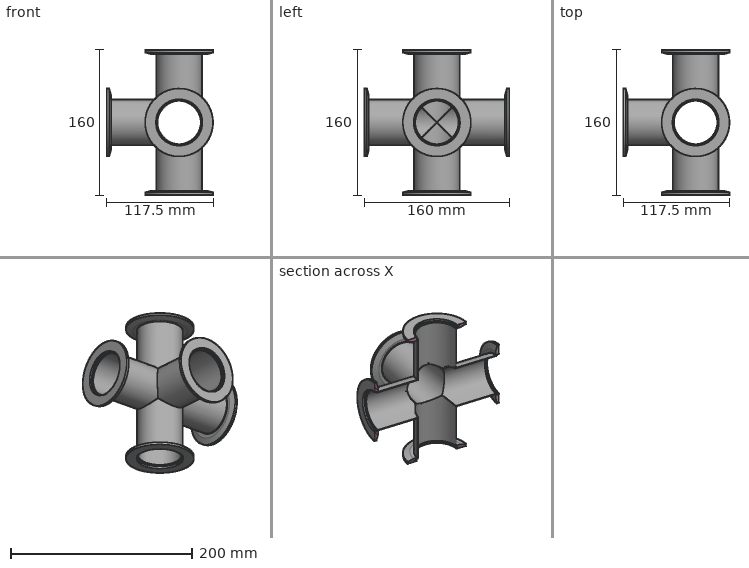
import cadquery as cq


reach = 80.0
tube_diameter = 50.7
bore_diameter = 47.7

flange_diameter = 75.0
flange_back_diameter = 60.2
flange_thickness = 5.0
flange_rim_thickness = 2.9
recess_diameter = 51.2
recess_depth = 2.5
lip_diameter = 49.1
lip_thickness = 1.3
socket_diameter = 51.0

tube_length = reach - recess_depth - lip_thickness
mitre_size = tube_diameter

run_neighbours = (90, 180, 270)
branch_neighbours = (0, 90, 180, 270)

run_turns = (0, 90, 180, 270)
branch_turn = -90


def make_mitre_cutter(neighbour_turn):
    """Wedge below the 45 degree plane shared with one neighbouring tube."""
    wedge = (
        cq.Workplane("XZ")
        .polyline([(0, 0), (mitre_size, 0), (mitre_size, mitre_size)])
        .close()
        .extrude(mitre_size, both=True)
    )
    return wedge.rotate((0, 0, 0), (0, 0, 1), neighbour_turn)


def make_tube(neighbour_turns):
    """Hollow tube with its inner end mitred against each neighbour."""
    tube = (
        cq.Workplane("XY")
        .circle(tube_diameter / 2)
        .circle(bore_diameter / 2)
        .extrude(tube_length)
    )
    for neighbour_turn in neighbour_turns:
        tube = tube.cut(make_mitre_cutter(neighbour_turn))
    return tube


def make_flange():
    """Ring with a tapered back, a face recess and a socket, revolved about Z."""
    back = reach - flange_thickness
    rim_bottom = reach - flange_rim_thickness
    recess_floor = reach - recess_depth
    profile = [
        (socket_diameter / 2, back),
        (flange_back_diameter / 2, back),
        (flange_diameter / 2, rim_bottom),
        (flange_diameter / 2, reach),
        (recess_diameter / 2, reach),
        (recess_diameter / 2, recess_floor),
        (lip_diameter / 2, recess_floor),
        (lip_diameter / 2, tube_length),
        (socket_diameter / 2, tube_length),
    ]
    return cq.Workplane("XZ").polyline(profile).close().revolve(360, (0, 0), (0, 1))


def turn_to_run(body, turn):
    return body.rotate((0, 0, 0), (1, 0, 0), turn)


def turn_to_branch(body):
    return body.rotate((0, 0, 0), (0, 1, 0), branch_turn)


tubes = [turn_to_branch(make_tube(branch_neighbours))]
flanges = [turn_to_branch(make_flange())]
for run_turn in run_turns:
    tubes.append(turn_to_run(make_tube(run_neighbours), run_turn))
    flanges.append(turn_to_run(make_flange(), run_turn))

result = cq.Compound.makeCompound([body.val() for body in tubes + flanges])